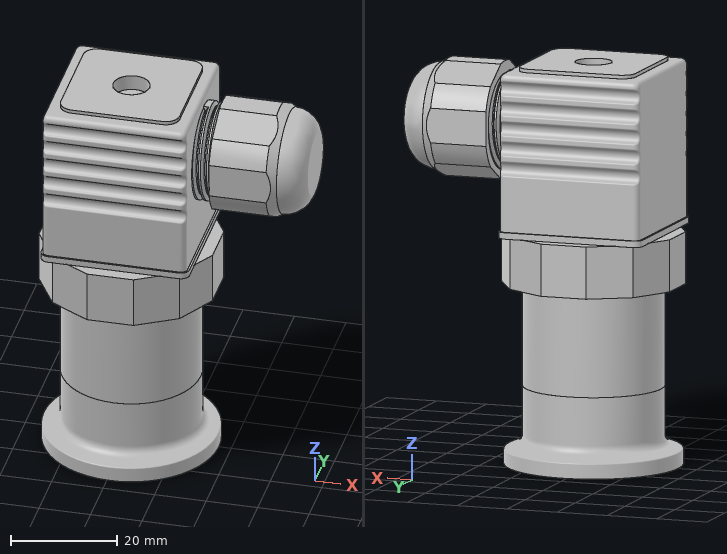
import cadquery as cq
import math

CLEARANCE = 0.1

RIM_DIAMETER = 34.0
RIM_EDGE_FILLET = 0.3
FERRULE_HEIGHT = 15.0
NECK_TOP = 5.6
NECK_FILLET = 2.0
CLAMP_ANGLE = math.radians(20)

TUBE_DIAMETER = 26.9
TUBE_TOP = 34.6
NUT_SIDES = 12
NUT_ACROSS_FLATS = 33.7
NUT_HEIGHT = 10.0
NUT_TOP = TUBE_TOP + NUT_HEIGHT

GASKET_WIDTH = 28.8
GASKET_HEIGHT = 1.2
GASKET_CORNER = 1.7
GASKET_TOP = NUT_TOP + GASKET_HEIGHT

TOTAL_HEIGHT = 76.95
HOUSING_WIDTH = 28.0
HOUSING_FILLET = 1.2
PAD_WIDTH = 23.1
PAD_HEIGHT = 0.7
PAD_CORNER = 2.7
HOUSING_TOP = TOTAL_HEIGHT - PAD_HEIGHT
SCREW_HOLE_DIAMETER = 7.0
SCREW_HOLE_DEPTH = 3.0

GROOVE_COUNT = 5
GROOVE_PITCH = 3.85
GROOVE_TOP_Z = 73.3
GROOVE_RADIUS = 1.5
GROOVE_DEPTH = 0.9
GROOVE_EDGE_FILLET = 0.4

OUTLET_Z = 64.8
THREAD_DIAMETER = 19.0
THREAD_LENGTH = 3.7
THREAD_PITCH = 1.55
THREAD_DEPTH = 0.85
THREAD_GROOVE_WIDTH = 1.15
THREAD_ROOT_WIDTH = 0.2
THREAD_START = 0.4

GLAND_START = HOUSING_WIDTH / 2 + THREAD_LENGTH
GLAND_END = 35.8
GLAND_SIDES = 6
GLAND_ACROSS_FLATS = 21.6
GLAND_DIAMETER = 22.6
CONE_START = 28.8
DOME_START = 30.6
DOME_DIAMETER = 20.5
DOME_END_DIAMETER = 12.3


def make_ferrule():
    tube_radius = TUBE_DIAMETER / 2
    rim_radius = RIM_DIAMETER / 2
    arc_center_r = tube_radius + NECK_FILLET

    def neck_point(angle):
        """Point on the neck fillet, with the angle measured from straight down."""
        return (arc_center_r - NECK_FILLET * math.sin(angle), NECK_TOP - NECK_FILLET * math.cos(angle))

    cone_top = neck_point(CLAMP_ANGLE)
    arc_middle = neck_point((CLAMP_ANGLE + math.pi / 2) / 2)
    rim_top = cone_top[1] - (rim_radius - cone_top[0]) * math.tan(CLAMP_ANGLE)
    ferrule = (
        cq.Workplane("XZ")
        .lineTo(rim_radius, 0)
        .lineTo(rim_radius, rim_top)
        .lineTo(*cone_top)
        .threePointArc(arc_middle, (tube_radius, NECK_TOP))
        .lineTo(tube_radius, FERRULE_HEIGHT)
        .lineTo(0, FERRULE_HEIGHT)
        .close()
        .revolve(360, (0, 0, 0), (0, 1, 0))
    )
    reach = rim_radius + CLEARANCE
    rim_edge_zone = cq.selectors.BoxSelector(
        (-reach, -reach, rim_top - CLEARANCE), (reach, reach, rim_top + CLEARANCE)
    )
    return ferrule.edges("%CIRCLE").edges(rim_edge_zone).fillet(RIM_EDGE_FILLET)


def make_tube():
    tube_length = TUBE_TOP - FERRULE_HEIGHT
    return cq.Workplane("XY", origin=(0, 0, FERRULE_HEIGHT)).circle(TUBE_DIAMETER / 2).extrude(tube_length)


def make_nut():
    half_side_angle = 180 / NUT_SIDES
    across_corners = NUT_ACROSS_FLATS / math.cos(math.radians(half_side_angle))
    return (
        cq.Workplane("XY", origin=(0, 0, TUBE_TOP))
        .transformed(rotate=(0, 0, half_side_angle))
        .polygon(NUT_SIDES, across_corners)
        .extrude(NUT_HEIGHT)
    )


def rounded_square(bottom, height, width, corner):
    block = cq.Workplane("XY", origin=(0, 0, bottom)).rect(width, width).extrude(height)
    return block.edges("|Z").fillet(corner)


def make_gasket():
    return rounded_square(NUT_TOP, GASKET_HEIGHT, GASKET_WIDTH, GASKET_CORNER)


def make_grip_grooves(side):
    """Cutter for the row of round grooves on the Y side given by side, -1 or 1."""
    axis_y = side * (HOUSING_WIDTH / 2 + GROOVE_RADIUS - GROOVE_DEPTH)
    axes = [(axis_y, GROOVE_TOP_Z - index * GROOVE_PITCH) for index in range(GROOVE_COUNT)]
    return (
        cq.Workplane("YZ", origin=(-HOUSING_WIDTH, 0, 0))
        .pushPoints(axes)
        .circle(GROOVE_RADIUS)
        .extrude(2 * HOUSING_WIDTH)
    )


def grip_groove_zone(side):
    """Box that holds the edges of the grooves on one Y side."""
    floor_y = side * (HOUSING_WIDTH / 2 - GROOVE_DEPTH - CLEARANCE)
    outside_y = side * (HOUSING_WIDTH / 2 + CLEARANCE)
    bottom_z = GROOVE_TOP_Z - (GROOVE_COUNT - 1) * GROOVE_PITCH - GROOVE_RADIUS
    top_z = GROOVE_TOP_Z + GROOVE_RADIUS
    return cq.selectors.BoxSelector(
        (-HOUSING_WIDTH, min(floor_y, outside_y), bottom_z), (HOUSING_WIDTH, max(floor_y, outside_y), top_z)
    )


def make_thread_stub():
    """Stub along Z from the origin, its right-hand thread groove starting on the +X side."""
    radius = THREAD_DIAMETER / 2
    stub = cq.Workplane("XY").circle(radius).extrude(THREAD_LENGTH)
    root_radius = radius - THREAD_DEPTH
    outer_radius = radius + CLEARANCE
    flank_slope = (THREAD_GROOVE_WIDTH - THREAD_ROOT_WIDTH) / THREAD_DEPTH
    outer_width = THREAD_GROOVE_WIDTH + CLEARANCE * flank_slope
    helix = cq.Wire.makeHelix(THREAD_PITCH, THREAD_LENGTH, root_radius)
    groove = (
        cq.Workplane("XZ")
        .moveTo(root_radius, -THREAD_ROOT_WIDTH / 2)
        .lineTo(outer_radius, -outer_width / 2)
        .lineTo(outer_radius, outer_width / 2)
        .lineTo(root_radius, THREAD_ROOT_WIDTH / 2)
        .close()
        .sweep(cq.Workplane(helix), isFrenet=True)
        .translate((0, 0, THREAD_START))
    )
    return stub.cut(groove)


def make_housing():
    housing = rounded_square(GASKET_TOP, HOUSING_TOP - GASKET_TOP, HOUSING_WIDTH, HOUSING_FILLET)
    housing = housing.faces(">Z").edges().fillet(HOUSING_FILLET)
    for side in (-1, 1):
        housing = housing.cut(make_grip_grooves(side))
        housing = housing.edges("not |Z").edges(grip_groove_zone(side)).fillet(GROOVE_EDGE_FILLET)

    housing = housing.union(rounded_square(HOUSING_TOP, PAD_HEIGHT, PAD_WIDTH, PAD_CORNER))
    screw_hole = (
        cq.Workplane("XY", origin=(0, 0, TOTAL_HEIGHT))
        .circle(SCREW_HOLE_DIAMETER / 2)
        .extrude(-SCREW_HOLE_DEPTH)
    )
    housing = housing.cut(screw_hole)

    stub = make_thread_stub().rotate((0, 0, 0), (0, 0, 1), 180).rotate((0, 0, 0), (0, 1, 0), 90)
    stub = stub.translate((HOUSING_WIDTH / 2, 0, OUTLET_Z))
    return housing.union(stub)


def make_gland_nut():
    dome_length = GLAND_END - DOME_START
    dome_end_radius = DOME_END_DIAMETER / 2
    dome_drop = DOME_DIAMETER / 2 - dome_end_radius
    arc_radius = (dome_length**2 + dome_drop**2) / (2 * dome_drop)
    half_arc_angle = math.atan2(dome_drop, dome_length)
    dome_middle = (
        DOME_START + arc_radius * math.sin(half_arc_angle),
        DOME_DIAMETER / 2 - arc_radius * (1 - math.cos(half_arc_angle)),
    )
    envelope = (
        cq.Workplane("XY", origin=(0, 0, OUTLET_Z))
        .moveTo(GLAND_START, 0)
        .lineTo(GLAND_START, GLAND_DIAMETER / 2)
        .lineTo(CONE_START, GLAND_DIAMETER / 2)
        .lineTo(DOME_START, DOME_DIAMETER / 2)
        .threePointArc(dome_middle, (GLAND_END, dome_end_radius))
        .lineTo(GLAND_END, 0)
        .close()
        .revolve(360, (0, 0, 0), (1, 0, 0))
    )
    half_side_angle = 180 / GLAND_SIDES
    across_corners = GLAND_ACROSS_FLATS / math.cos(math.radians(half_side_angle))
    hexagon = (
        cq.Workplane("YZ", origin=(GLAND_START, 0, OUTLET_Z))
        .transformed(rotate=(0, 0, half_side_angle))
        .polygon(GLAND_SIDES, across_corners)
        .extrude(GLAND_END - GLAND_START)
    )
    return envelope.intersect(hexagon)


ferrule = make_ferrule()
tube = make_tube()
nut = make_nut()
gasket = make_gasket()
housing = make_housing()
gland_nut = make_gland_nut()

bodies = [ferrule, tube, nut, gasket, housing, gland_nut]
result = cq.Compound.makeCompound([body.solids().val() for body in bodies])